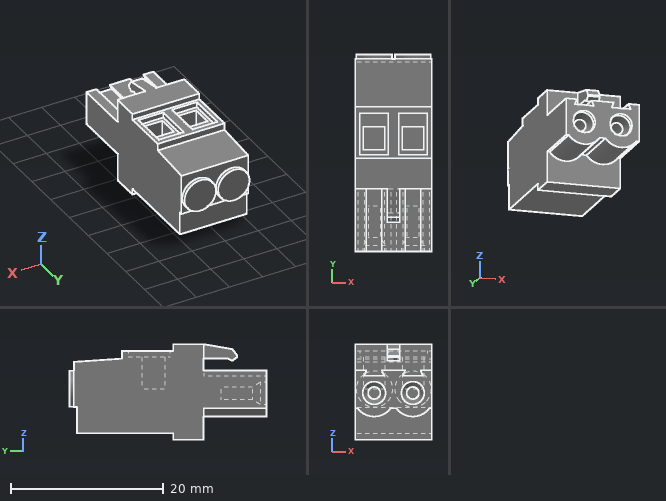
import cadquery as cq
import math


WIDTH = 10.1
LENGTH = 25.9
HEIGHT = 12.6
PITCH = 5.08
POLE_POSITIONS = (-PITCH / 2, PITCH / 2)

COLLAR_FRONT = 8.28
COLLAR_BACK = 12.27
DECK_BACK = 19.0
LOWER_BACK = 24.92
UPPER_BACK = 25.32
UNDERSIDE_Z = 0.87
BACK_STEP_Z = 4.3
DECK_Z = 11.72
ROOF_FRONT_Z = 10.7
ROOF_BACK_Z = 10.27

NOSE_TOP_Z = 9.14
NOSE_BOTTOM_Z = 4.14
BULGE_RADIUS = 2.7
BULGE_BOTTOM_Z = 3.07

GROOVE_TOP_WIDTH = 2.03
GROOVE_FLOOR_WIDTH = 2.6
GROOVE_DEPTH = 0.7

HOLE_Z = 6.17
HOLE_DIAMETER = 1.6
ENTRY_DIAMETER = 3.0
ENTRY_DEPTH = 0.8
FUNNEL_LENGTH = 1.1
HOLE_DEPTH = 6.0

POCKET_WIDTH = 3.75
POCKET_FRONT = 12.73
POCKET_BACK = 18.2
POCKET_DEPTH = 0.8
WELL_WIDTH = 2.81
WELL_FRONT = 13.36
WELL_BACK = 16.4
WELL_DEPTH = 5.0

SCREW_DIAMETER = 4.75
SCREW_Z = 6.72

LATCH_WIDTH = 1.64
LATCH_UNDERSIDE_Z = 10.7
LATCH_TIP_Y = 3.83
LATCH_TIP_TOP_Z = 11.09
LATCH_TIP_BOTTOM_Z = 10.9
LATCH_BEND_Y = 4.5
LATCH_BEND_Z = 11.95
HOOK_BOTTOM_Z = 10.4
HOOK_BACK_Y = 5.12


def extrude_across(points, width):
    """Extrude a closed (Y, Z) outline symmetrically about the X = 0 plane."""
    return cq.Workplane("YZ").polyline(points).close().extrude(width / 2, both=True)


def box_between(center_x, width, y_range, z_range):
    """Box of a given width centred on center_x, spanning the Y and Z ranges."""
    y_size = y_range[1] - y_range[0]
    z_size = z_range[1] - z_range[0]
    corner = (center_x - width / 2, y_range[0], z_range[0])
    return cq.Workplane("XY").box(width, y_size, z_size, centered=False).translate(corner)


def cylinder_along_y(x, z, radius, y_start, y_end):
    """Solid cylinder parallel to Y."""
    axis = cq.Vector(0, 1, 0)
    return cq.Workplane(cq.Solid.makeCylinder(radius, y_end - y_start, cq.Vector(x, y_start, z), axis))


def make_housing():
    profile = [
        (COLLAR_FRONT, 0),
        (COLLAR_FRONT, HEIGHT),
        (COLLAR_BACK, HEIGHT),
        (COLLAR_BACK, DECK_Z),
        (DECK_BACK, DECK_Z),
        (DECK_BACK, ROOF_FRONT_Z),
        (UPPER_BACK, ROOF_BACK_Z),
        (UPPER_BACK, BACK_STEP_Z),
        (LOWER_BACK, BACK_STEP_Z),
        (LOWER_BACK, UNDERSIDE_Z),
        (COLLAR_BACK, UNDERSIDE_Z),
        (COLLAR_BACK, 0),
    ]
    return extrude_across(profile, WIDTH)


def make_nose():
    """Rectangular plug nose with a round bulge below each contact."""
    nose = box_between(0, WIDTH, (0, COLLAR_FRONT), (NOSE_BOTTOM_Z, NOSE_TOP_Z))
    bulge_center_z = BULGE_BOTTOM_Z + BULGE_RADIUS
    bulge_half_width = math.sqrt(BULGE_RADIUS**2 - (bulge_center_z - NOSE_BOTTOM_Z) ** 2)
    for x in POLE_POSITIONS:
        bulge = (
            cq.Workplane("XZ")
            .moveTo(x - bulge_half_width, NOSE_BOTTOM_Z)
            .threePointArc((x, BULGE_BOTTOM_Z), (x + bulge_half_width, NOSE_BOTTOM_Z))
            .close()
            .extrude(-COLLAR_FRONT)
        )
        nose = nose.union(bulge)
    return nose


def make_latch():
    profile = [
        (COLLAR_FRONT, HEIGHT),
        (LATCH_BEND_Y, LATCH_BEND_Z),
        (LATCH_TIP_Y, LATCH_TIP_TOP_Z),
        (LATCH_TIP_Y, LATCH_TIP_BOTTOM_Z),
        (LATCH_BEND_Y, HOOK_BOTTOM_Z),
        (HOOK_BACK_Y, LATCH_UNDERSIDE_Z),
        (COLLAR_FRONT, LATCH_UNDERSIDE_Z),
    ]
    return extrude_across(profile, LATCH_WIDTH)


def make_screw(x):
    return cylinder_along_y(x, SCREW_Z, SCREW_DIAMETER / 2, LOWER_BACK, LENGTH)


def make_groove(x):
    """Dovetail groove cutter, wider at its floor than at the nose top."""
    floor_z = NOSE_TOP_Z - GROOVE_DEPTH
    outline = [
        (x - GROOVE_TOP_WIDTH / 2, NOSE_TOP_Z),
        (x - GROOVE_FLOOR_WIDTH / 2, floor_z),
        (x + GROOVE_FLOOR_WIDTH / 2, floor_z),
        (x + GROOVE_TOP_WIDTH / 2, NOSE_TOP_Z),
    ]
    return cq.Workplane("XZ").polyline(outline).close().extrude(-COLLAR_FRONT)


def make_contact_hole(x):
    """Blind contact hole cutter: wide entry, conical funnel, then narrow bore."""
    entry = cylinder_along_y(x, HOLE_Z, ENTRY_DIAMETER / 2, 0, ENTRY_DEPTH)
    funnel = cq.Solid.makeCone(
        ENTRY_DIAMETER / 2,
        HOLE_DIAMETER / 2,
        FUNNEL_LENGTH,
        cq.Vector(x, ENTRY_DEPTH, HOLE_Z),
        cq.Vector(0, 1, 0),
    )
    bore = cylinder_along_y(x, HOLE_Z, HOLE_DIAMETER / 2, 0, HOLE_DEPTH)
    return bore.union(entry).union(cq.Workplane(funnel))


def make_wire_pocket(x):
    """Shallow pocket cutter with a deeper, narrower well in its floor."""
    pocket = box_between(x, POCKET_WIDTH, (POCKET_FRONT, POCKET_BACK), (DECK_Z - POCKET_DEPTH, DECK_Z))
    well = box_between(x, WELL_WIDTH, (WELL_FRONT, WELL_BACK), (DECK_Z - WELL_DEPTH, DECK_Z))
    return pocket.union(well)


body = make_housing().union(make_nose()).union(make_latch())
for pole_x in POLE_POSITIONS:
    body = body.union(make_screw(pole_x))
    body = body.cut(make_groove(pole_x))
    body = body.cut(make_contact_hole(pole_x))
    body = body.cut(make_wire_pocket(pole_x))

result = body